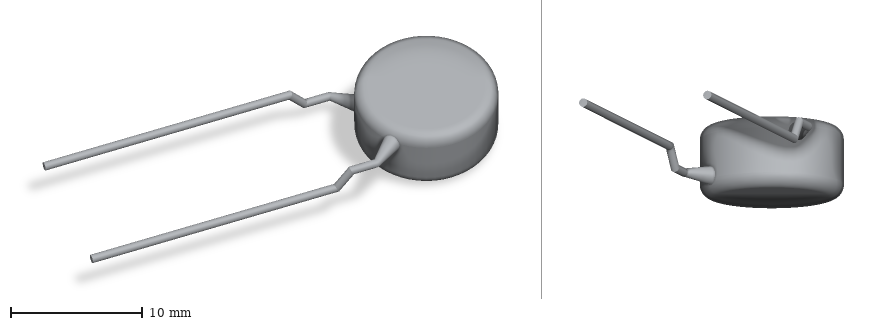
import cadquery as cq
import math

disc_radius = 5.5
disc_height = 5.5
disc_edge_radius = 1.0

wire_radius = 0.33
lead_offset_x = 5.0
lead_offset_z = 1.5
lead_end_y = disc_radius - 34.8
first_bend_y = -8.05
second_bend_y = -9.25

sleeve_angle = 40.0
sleeve_root_distance = 4.87
sleeve_root_radius = 0.8
elbow_end_y = -6.1
elbow_inner_radius = 0.017
right_collar_length = 0.3
left_collar_length = 0.0


def make_disc():
    """Cylinder with rounded top and bottom rims."""
    bottom = cq.Workplane("XY", origin=(0, 0, -disc_height / 2))
    disc = bottom.circle(disc_radius).extrude(disc_height)
    return disc.edges("%CIRCLE").fillet(disc_edge_radius)


def make_sleeve(collar_length, disc):
    """Sleeve on the +X side, trimmed to fit against the disc."""
    angle = math.radians(sleeve_angle)
    direction = cq.Vector(math.sin(angle), -math.cos(angle), 0)
    bend_radius = wire_radius + elbow_inner_radius
    pivot_x = lead_offset_x - bend_radius
    elbow_start = cq.Vector(
        pivot_x + bend_radius * math.cos(angle),
        elbow_end_y + bend_radius * math.sin(angle),
        lead_offset_z,
    )
    cone_length = math.hypot(elbow_start.x, elbow_start.y) - sleeve_root_distance
    cone_root = elbow_start - direction * cone_length
    cone = cq.Workplane(
        cq.Solid.makeCone(sleeve_root_radius, wire_radius, cone_length, cone_root, direction)
    )

    elbow_end = cq.Workplane("XZ", origin=(lead_offset_x, elbow_end_y, lead_offset_z))
    elbow = elbow_end.circle(wire_radius).revolve(
        sleeve_angle, (-bend_radius, -0.35, 0), (-bend_radius, 0.35, 0)
    )
    sleeve = cone.union(elbow)
    if collar_length > 0:
        sleeve = sleeve.union(elbow_end.circle(wire_radius).extrude(collar_length))
    return sleeve.cut(disc)


def make_lead(collar_length):
    """Wire on the +X side with two mitred bends that bring it down to mid-height."""
    start_y = elbow_end_y - collar_length
    path = cq.Workplane("YZ", origin=(lead_offset_x, 0, 0)).polyline([
        (start_y, lead_offset_z),
        (first_bend_y, lead_offset_z),
        (second_bend_y, 0),
        (lead_end_y, 0),
    ])
    section = cq.Workplane("XZ", origin=(lead_offset_x, start_y, lead_offset_z)).circle(wire_radius)
    return section.sweep(path, transition="right")


disc = make_disc()
bodies = [disc.solids().val()]

for collar_length, turn in ((right_collar_length, 0), (left_collar_length, 180)):
    for body in (make_sleeve(collar_length, disc), make_lead(collar_length)):
        bodies.append(body.rotate((0, 0, 0), (0, 1, 0), turn).solids().val())

result = cq.Compound.makeCompound(bodies)